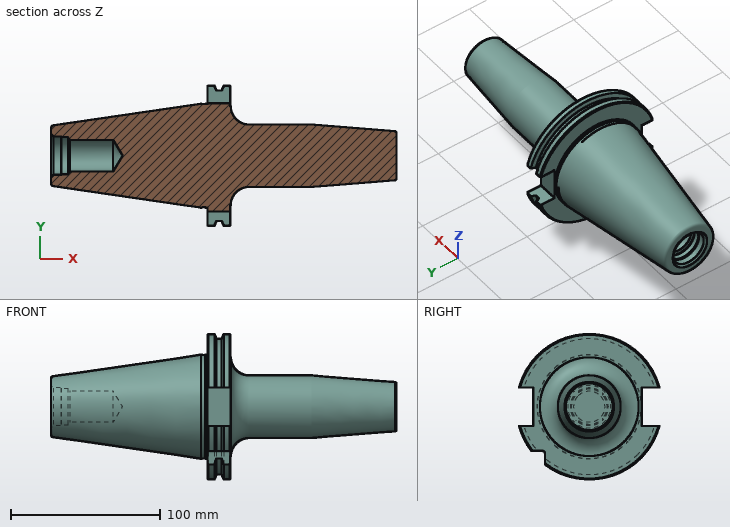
import cadquery as cq
import math

total_length = 231.5
gauge_x = 100.5
flange_start = 105.0
flange_end = 120.2
neck_start = 132.7
nose_start = 174.9

gauge_radius = 35.0
taper_slope = 7 / 48
taper_end_radius = gauge_radius - gauge_x * taper_slope
taper_end_round = 1.6

relief_start = 102.0
relief_end = 103.3
collar_start = 104.0
relief_radius = 34.7

flange_radius = 48.75
flange_chamfer = 0.58
groove_start = 109.5
groove_end = 115.8
groove_floor_radius = 45.6
groove_floor_start = 111.0
groove_floor_end = 114.5

boss_end = 120.7
neck_radius = 21.0
neck_fillet = neck_start - boss_end
nose_angle = 4.5
nose_chamfer = 1.0

slot_width = 25.7
slot_floor_front = 37.5
slot_floor_back = 35.2
notch_offset = 29.6
notch_corner_radius = 1.9
cutter_margin = 2.3

mouth_radius = 14.4
mouth_chamfer = 1.6
pilot_radius = mouth_radius - mouth_chamfer
pilot_depth = 6.7
thread_radius = 12.3
thread_depth = 11.3
countersink_radius = 11.8
drill_radius = 10.5
drill_depth = 41.7
drill_point_angle = 118


def revolve_about_x(profile):
    return profile.close().revolve(360, (0, 0, 0), (1, 0, 0))


def make_body():
    nose_length = total_length - nose_start
    nose_radius = neck_radius - nose_length * math.tan(math.radians(nose_angle))
    taper_edge_radius = taper_end_radius + taper_end_round * taper_slope
    arc_offset = neck_fillet * math.sqrt(0.5)
    fillet_center_radius = neck_radius + neck_fillet
    profile = (
        cq.Workplane("XY")
        .lineTo(0, taper_end_radius - taper_end_round)
        .threePointArc(
            (
                taper_end_round * (1 - math.sqrt(0.5)),
                taper_end_radius - taper_end_round * (1 - math.sqrt(0.5)),
            ),
            (taper_end_round, taper_edge_radius),
        )
        .lineTo(gauge_x, gauge_radius)
        .lineTo(relief_start, relief_radius)
        .lineTo(relief_end, relief_radius)
        .lineTo(collar_start, gauge_radius)
        .lineTo(flange_start, gauge_radius)
        .lineTo(flange_start, flange_radius - flange_chamfer)
        .lineTo(flange_start + flange_chamfer, flange_radius)
        .lineTo(groove_start, flange_radius)
        .lineTo(groove_floor_start, groove_floor_radius)
        .lineTo(groove_floor_end, groove_floor_radius)
        .lineTo(groove_end, flange_radius)
        .lineTo(flange_end - flange_chamfer, flange_radius)
        .lineTo(flange_end, flange_radius - flange_chamfer)
        .lineTo(flange_end, fillet_center_radius)
        .lineTo(boss_end, fillet_center_radius)
        .threePointArc(
            (neck_start - arc_offset, fillet_center_radius - arc_offset),
            (neck_start, neck_radius),
        )
        .lineTo(nose_start, neck_radius)
        .lineTo(total_length - nose_chamfer, nose_radius)
        .lineTo(total_length, nose_radius - nose_chamfer)
        .lineTo(total_length, 0)
    )
    return revolve_about_x(profile)


def make_bore():
    tip_depth = drill_depth + drill_radius / math.tan(math.radians(drill_point_angle / 2))
    step = pilot_radius - thread_radius
    profile = (
        cq.Workplane("XY")
        .lineTo(0, mouth_radius)
        .lineTo(mouth_chamfer, pilot_radius)
        .lineTo(pilot_depth, pilot_radius)
        .lineTo(pilot_depth + step, thread_radius)
        .lineTo(thread_depth, thread_radius)
        .lineTo(thread_depth, countersink_radius)
        .lineTo(thread_depth + countersink_radius - drill_radius, drill_radius)
        .lineTo(drill_depth, drill_radius)
        .lineTo(tip_depth, 0)
    )
    return revolve_about_x(profile)


def flange_cutter(y_min, y_max, z_min, z_max):
    """Box spanning the flange width, for cutting its rim."""
    size = (flange_end - flange_start, y_max - y_min, z_max - z_min)
    return cq.Workplane("XY").box(*size, centered=False).translate((flange_start, y_min, z_min))


rim = flange_radius + cutter_margin
front_slot = flange_cutter(-rim, -slot_floor_front, -slot_width / 2, slot_width / 2)
back_slot = flange_cutter(slot_floor_back, rim, -slot_width / 2, slot_width / 2)
notch = flange_cutter(-rim, -notch_offset, -rim, -notch_offset)
notch = notch.edges("|X and >Y and >Z").fillet(notch_corner_radius)

result = make_body().cut(make_bore())
for cutter in (front_slot, back_slot, notch):
    result = result.cut(cutter)